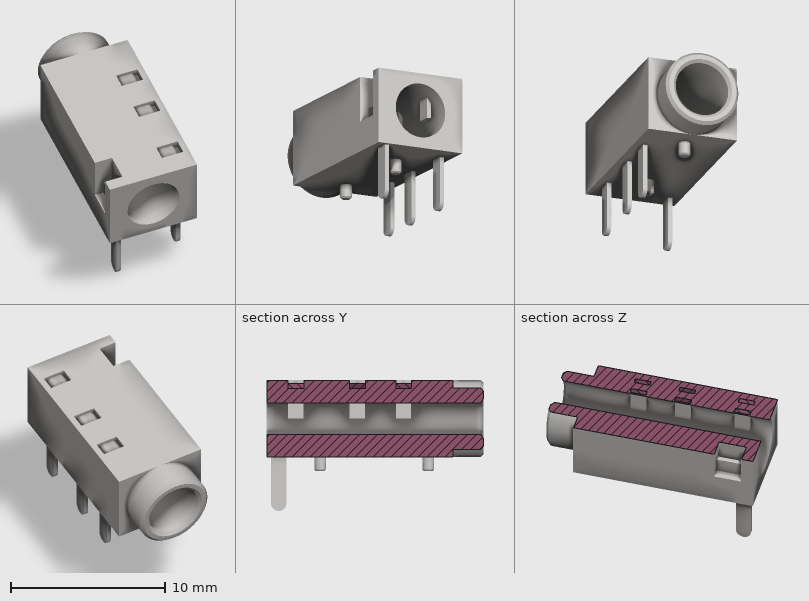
import cadquery as cq


TOTAL_LENGTH = 14.1
BLOCK_WIDTH = 6.1
BLOCK_HEIGHT = 5.0
NOZZLE_LENGTH = 2.0
BORE_RADIUS = 1.8
MOUTH_CHAMFER = 0.2
BLOCK_TOP = BLOCK_HEIGHT / 2
BLOCK_BOTTOM = -BLOCK_HEIGHT / 2
BLOCK_FRONT_Y = -BLOCK_WIDTH / 2
NOZZLE_RADIUS = BLOCK_HEIGHT / 2

PEG_POSITIONS_X = (3.6, 10.6)
PEG_RADIUS = 0.38
PEG_LENGTH = 0.9
PEG_CHAMFER = 0.1

PIN_WIDTH = 1.0
PIN_THICKNESS = 0.3
PIN_OFFSET_Y = 2.3
PIN_LENGTH = 3.5
TIP_RADIUS = PIN_WIDTH / 2
PIN_TIP_Z = BLOCK_BOTTOM - PIN_LENGTH

CONTACT_POSITIONS_X = (5.2, 8.2, 12.2)
SPRING_ARM_Y = 1.34
ARCH_TOP_Z = 2.3
BEND_RADIUS = 0.35
ARCH_OUTER_Y = PIN_OFFSET_Y + PIN_THICKNESS / 2
ARCH_INNER_Y = SPRING_ARM_Y - PIN_THICKNESS / 2

WINDOW_WIDTH_Y = 1.5
WINDOW_CENTER_Y = 1.9
WINDOW_DEPTH = 0.5

NOTCH_START_X = 11.49
NOTCH_LENGTH = 1.82
NOTCH_DEPTH_Y = 1.2
NOTCH_HEIGHT = 3.0
BLADE_PIN_X = 13.3
BLADE_TOP_Z = 0.47
NOTCH_FLOOR_Z = BLOCK_TOP - NOTCH_HEIGHT
BLADE_END_X = BLADE_PIN_X + PIN_WIDTH / 2


def box_between(x_range, y_range, z_range):
    """Axis-aligned box spanning the given (low, high) ranges."""
    (x0, x1), (y0, y1), (z0, z1) = x_range, y_range, z_range
    return cq.Workplane("XY").box(x1 - x0, y1 - y0, z1 - z0, centered=False).translate((x0, y0, z0))


def make_pin(center_x, center_y, top_z):
    """Flat solder pin with a full-round tip, reaching from top_z down to the tip."""
    left = center_x - PIN_WIDTH / 2
    right = center_x + PIN_WIDTH / 2
    tip_start_z = PIN_TIP_Z + TIP_RADIUS
    return (
        cq.Workplane("XZ", origin=(0, center_y, 0))
        .moveTo(left, top_z)
        .lineTo(left, tip_start_z)
        .threePointArc((center_x, PIN_TIP_Z), (right, tip_start_z))
        .lineTo(right, top_z)
        .close()
        .extrude(PIN_THICKNESS / 2, both=True)
    )


def make_arched_contact(center_x):
    """Pin, arch beside the bore and spring arm that hangs inside the bore to axis height."""
    x_range = (center_x - PIN_WIDTH / 2, center_x + PIN_WIDTH / 2)
    arch = box_between(x_range, (ARCH_INNER_Y, ARCH_OUTER_Y), (0, ARCH_TOP_Z))
    arch = arch.edges("|X and >Z").fillet(BEND_RADIUS)
    opening = box_between(
        x_range,
        (ARCH_INNER_Y + PIN_THICKNESS, ARCH_OUTER_Y - PIN_THICKNESS),
        (0, ARCH_TOP_Z - PIN_THICKNESS),
    )
    opening = opening.edges("|X and >Z").fillet(BEND_RADIUS - PIN_THICKNESS)
    pin = make_pin(center_x, PIN_OFFSET_Y, 0)
    return arch.cut(opening).union(pin)


def make_blade_contact():
    """Upright blade across the notch, joined to a pin under its +X end."""
    y_range = (-PIN_OFFSET_Y - PIN_THICKNESS / 2, -PIN_OFFSET_Y + PIN_THICKNESS / 2)
    blade = box_between((NOTCH_START_X, BLADE_END_X), y_range, (NOTCH_FLOOR_Z, BLADE_TOP_Z))
    return blade.union(make_pin(BLADE_PIN_X, -PIN_OFFSET_Y, BLADE_TOP_Z))


def make_shell():
    """Block with the chamfered nozzle, bored through along the jack axis."""
    nozzle = cq.Workplane("YZ").circle(NOZZLE_RADIUS).extrude(NOZZLE_LENGTH)
    nozzle = nozzle.faces("<X").chamfer(MOUTH_CHAMFER)
    block = box_between(
        (NOZZLE_LENGTH, TOTAL_LENGTH),
        (BLOCK_FRONT_Y, -BLOCK_FRONT_Y),
        (BLOCK_BOTTOM, BLOCK_TOP),
    )
    bore = cq.Workplane("YZ").circle(BORE_RADIUS).extrude(TOTAL_LENGTH)
    shell = block.union(nozzle).cut(bore)
    mouth_edge = shell.faces("<X").edges(cq.selectors.RadiusNthSelector(0))
    return mouth_edge.chamfer(MOUTH_CHAMFER)


def make_peg(center_x):
    """Round locating peg with a chamfered end."""
    peg = cq.Workplane("XY", origin=(center_x, 0, BLOCK_BOTTOM)).circle(PEG_RADIUS).extrude(-PEG_LENGTH)
    return peg.faces("<Z").chamfer(PEG_CHAMFER)


def make_window(center_x):
    """Cutter for the window above an arched contact."""
    return box_between(
        (center_x - PIN_WIDTH / 2, center_x + PIN_WIDTH / 2),
        (WINDOW_CENTER_Y - WINDOW_WIDTH_Y / 2, WINDOW_CENTER_Y + WINDOW_WIDTH_Y / 2),
        (BLOCK_TOP - WINDOW_DEPTH, BLOCK_TOP),
    )


def make_notch():
    """Cutter for the notch that opens to the top and to the -Y side."""
    return box_between(
        (NOTCH_START_X, NOTCH_START_X + NOTCH_LENGTH),
        (BLOCK_FRONT_Y, BLOCK_FRONT_Y + NOTCH_DEPTH_Y),
        (NOTCH_FLOOR_Z, BLOCK_TOP),
    )


def make_housing(terminals):
    """Complete housing, with a matching recess for each terminal."""
    housing = make_shell().cut(make_notch())
    for x in PEG_POSITIONS_X:
        housing = housing.union(make_peg(x))
    for x in CONTACT_POSITIONS_X:
        housing = housing.cut(make_window(x))
    for terminal in terminals:
        housing = housing.cut(terminal)
    return housing


arched_contacts = [make_arched_contact(x) for x in CONTACT_POSITIONS_X]
blade_contact = make_blade_contact()
terminals = [*arched_contacts, blade_contact]
housing = make_housing(terminals)

result = cq.Compound.makeCompound(
    [housing.solids().val(), *[terminal.solids().val() for terminal in terminals]]
)